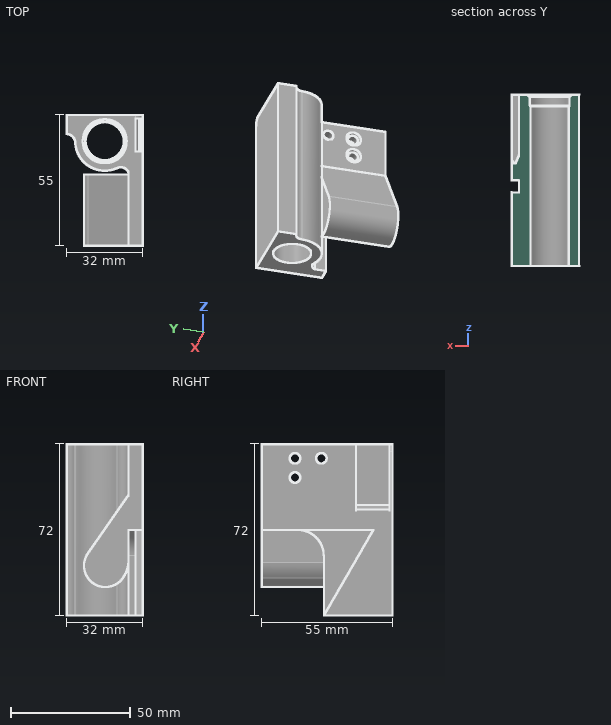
import cadquery as cq
import math

width = 32.0
depth = 55.0
height = 72.0
back = 11.0
left = -width / 2
right = width / 2
front = back - depth

barrel_radius = 12.45
hollow_radius = 3.5
left_hollow_y = -0.6
barrel_end_x = 5.25
web_thickness = 6.05
web_face = right - web_thickness

bore_diameter = 16.0
seat_diameter = 16.6
seat_depth = 4.5
seat_taper = 0.5
bore_chamfer = 0.9

web_bottom = 36.0
foot_front = -17.9
web_fillet = 10.8
side_cut = 3.0
side_slope = math.radians(30)

drop_radius = 9.0
drop_center_x = 0.3
drop_center_z = 21.0
drop_apex_z = 50.6
drop_back = -13.9
drop_join_angle = math.radians(-35)
drop_flank_z = 22.3

hole_diameter = 4.3
sink_diameter = 6.3
sink_depth = (sink_diameter - hole_diameter) / 2
plain_hole = (-18.9, 66.1)
sunk_holes = [(-30.0, 66.1), (-30.0, 58.0)]

recess_front = -4.4
recess_bottom = 43.2
groove_inner_width = 1.45
groove_inner_rise = 3.4
groove_outer_width = 0.9
groove_outer_rise = 1.3
groove_round_rise = 0.15
lip_thickness = 1.45


def make_body():
    """Block, barrel and web as one plan outline."""
    left_hollow_angle = math.atan2(left_hollow_y, left)
    barrel_start = (
        barrel_radius * math.cos(left_hollow_angle),
        barrel_radius * math.sin(left_hollow_angle),
    )
    left_hollow_mid = (
        left + hollow_radius * math.sqrt(0.5),
        left_hollow_y + hollow_radius * math.sqrt(0.5),
    )
    barrel_end_y = -math.sqrt(barrel_radius**2 - barrel_end_x**2)
    reach = 1 + hollow_radius / barrel_radius
    hollow_x = barrel_end_x * reach
    hollow_y = barrel_end_y * reach
    hollow_end_y = hollow_y + math.sqrt(hollow_radius**2 - (web_face - hollow_x) ** 2)
    return (
        cq.Workplane("XY")
        .moveTo(left, back)
        .lineTo(left, left_hollow_y + hollow_radius)
        .threePointArc(left_hollow_mid, barrel_start)
        .threePointArc(
            (-barrel_radius * math.sqrt(0.5), -barrel_radius * math.sqrt(0.5)),
            (barrel_end_x, barrel_end_y),
        )
        .threePointArc((hollow_x, hollow_y + hollow_radius), (web_face, hollow_end_y))
        .lineTo(web_face, front)
        .lineTo(right, front)
        .lineTo(right, back)
        .close()
        .extrude(height)
    )


def make_web_cut():
    """Space under the web, with a concave round in its inner corner."""
    return (
        cq.Workplane("YZ", origin=(web_face, 0, 0))
        .moveTo(front, 0)
        .lineTo(foot_front, 0)
        .lineTo(foot_front, web_bottom - web_fillet)
        .radiusArc((foot_front - web_fillet, web_bottom), -web_fillet)
        .lineTo(front, web_bottom)
        .close()
        .extrude(web_thickness)
    )


def make_side_cut():
    """Outer part of the web cut-out, square at the top and with a back wall leaning backward."""
    wall_run = web_bottom * math.tan(side_slope)
    return (
        cq.Workplane("YZ", origin=(right - side_cut, 0, 0))
        .moveTo(front, 0)
        .lineTo(foot_front, 0)
        .lineTo(foot_front + wall_run, web_bottom)
        .lineTo(front, web_bottom)
        .close()
        .extrude(side_cut)
    )


def make_teardrop():
    """Round block with a flank tangent to its circle, rising to the web face."""
    run = web_face - drop_center_x
    rise = drop_apex_z - drop_center_z
    apex_angle = math.atan(run / rise) + math.asin(drop_radius / math.hypot(run, rise))
    tangent_angle = math.pi - apex_angle

    def on_circle(angle):
        return (
            drop_center_x + drop_radius * math.cos(angle),
            drop_center_z + drop_radius * math.sin(angle),
        )

    return (
        cq.Workplane("XZ", origin=(0, drop_back, 0))
        .moveTo(web_face, drop_flank_z)
        .lineTo(web_face, drop_apex_z)
        .lineTo(*on_circle(tangent_angle))
        .threePointArc(on_circle(-math.pi / 2), on_circle(drop_join_angle))
        .tangentArcPoint((web_face, drop_flank_z), relative=False)
        .close()
        .extrude(drop_back - front)
    )


def make_bore():
    """Through bore with a wider seat, tapered at its foot, and a chamfered mouth at the top."""
    bore_radius = bore_diameter / 2
    seat_radius = seat_diameter / 2
    return (
        cq.Workplane("XZ")
        .moveTo(0, 0)
        .lineTo(bore_radius, 0)
        .lineTo(bore_radius, height - seat_depth - seat_taper)
        .lineTo(seat_radius, height - seat_depth)
        .lineTo(seat_radius, height - bore_chamfer)
        .lineTo(seat_radius + bore_chamfer, height)
        .lineTo(0, height)
        .close()
        .revolve(360, (0, 0, 0), (0, 1, 0))
    )


def make_web_holes():
    """One plain and two countersunk holes through the web."""
    web_plane = cq.Workplane("YZ", origin=(web_face, 0, 0))
    holes = web_plane.pushPoints([plain_hole] + sunk_holes).circle(hole_diameter / 2).extrude(web_thickness)
    for y, z in sunk_holes:
        cone = cq.Solid.makeCone(
            sink_diameter / 2,
            hole_diameter / 2,
            sink_depth,
            cq.Vector(web_face, y, z),
            cq.Vector(1, 0, 0),
        )
        holes = holes.union(cq.Workplane(cone))
    return holes


def make_recess():
    """Recess open to the top and right, with a shallow rounded groove as its floor."""
    lip_front = back - lip_thickness
    inner = right - side_cut
    groove_start = (inner + groove_inner_width, recess_bottom)
    groove_end = (right - groove_outer_width, recess_bottom + groove_round_rise)
    span = groove_end[0] - groove_start[0]
    round_radius = (span**2 + groove_round_rise**2) / (2 * groove_round_rise)
    return (
        cq.Workplane("XZ", origin=(0, lip_front, 0))
        .moveTo(inner, height)
        .lineTo(inner, recess_bottom + groove_inner_rise)
        .lineTo(*groove_start)
        .radiusArc(groove_end, -round_radius)
        .lineTo(right, recess_bottom + groove_round_rise + groove_outer_rise)
        .lineTo(right, height)
        .close()
        .extrude(lip_front - recess_front)
    )


def make_lip_rounding():
    """Corner removed from the lip to leave a quarter-round top."""
    return (
        cq.Workplane("XZ", origin=(0, back, 0))
        .moveTo(right - side_cut, height)
        .radiusArc((right, height - side_cut), side_cut)
        .lineTo(right, height)
        .close()
        .extrude(lip_thickness)
    )


result = (
    make_body()
    .cut(make_web_cut())
    .cut(make_side_cut())
    .union(make_teardrop())
    .cut(make_bore())
    .cut(make_web_holes())
    .cut(make_recess())
    .cut(make_lip_rounding())
)